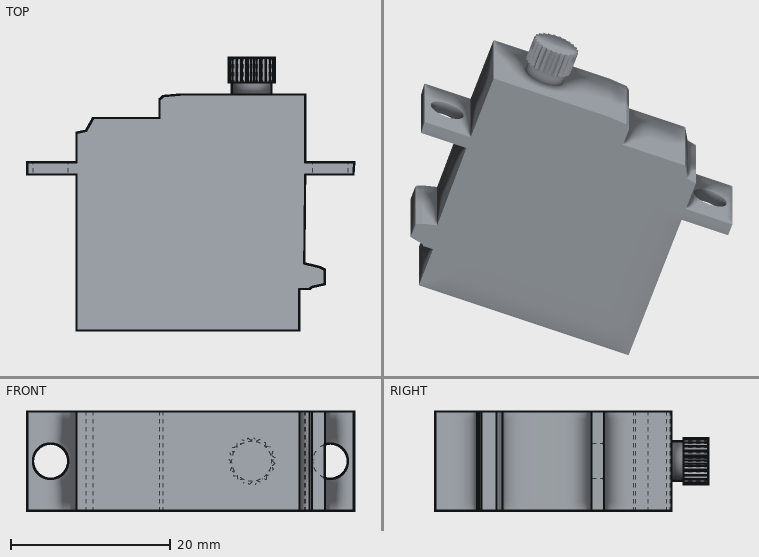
import cadquery as cq
import math

overall_length = 41.15
case_thickness = 12.5
mid_height = case_thickness / 2
case_left = 6.2
case_right = 34.95
case_right_low = 34.85
back_right = 34.2
case_front = 29.7

ear_back = 19.6
ear_front = 21.2
ear_end_draft = 0.12
ear_hole_diameter = 4.4
ear_hole_positions = (2.95, 38.1)

step_front = 26.75
step_right = 16.6
slope_start = (7.4, 25.15)
slope_end_x = 8.3
left_wall_front = 24.9

shoulder_start = 29.05
shoulder_bend = (17.1, 29.5)
boss_flat_start = 19.4

outlet_right = 37.43
outlet_front = 8.47
outlet_back = 5.22
outlet_front_bend = (36.73, 8.0)
outlet_front_corner = 7.7
outlet_back_corner = 5.85
outlet_back_bend = (35.8, 5.45)
outlet_back_flat_end = 35.5

shaft_x = 28.2
shaft_diameter = 5.0
spline_back = 31.18
shaft_end = 34.3
spline_count = 24
spline_outer_diameter = 5.9
spline_root_diameter = 5.2
spline_phase = 9.0


def make_case():
    outline = (
        cq.Workplane("XY")
        .moveTo(case_left, 0)
        .lineTo(back_right, 0)
        .lineTo(back_right, outlet_back)
        .lineTo(outlet_back_flat_end, outlet_back)
        .lineTo(*outlet_back_bend)
        .lineTo(outlet_right, outlet_back_corner)
        .lineTo(outlet_right, outlet_front_corner)
        .lineTo(*outlet_front_bend)
        .lineTo(case_right_low, outlet_front)
        .lineTo(case_right, ear_back)
        .lineTo(overall_length - ear_end_draft, ear_back)
        .lineTo(overall_length, ear_front)
        .lineTo(case_right, ear_front)
        .lineTo(case_right, case_front)
        .lineTo(boss_flat_start, case_front)
        .lineTo(*shoulder_bend)
        .lineTo(step_right, shoulder_start)
        .lineTo(step_right, step_front)
        .lineTo(slope_end_x, step_front)
        .lineTo(*slope_start)
        .lineTo(case_left, left_wall_front)
        .lineTo(case_left, ear_front)
        .lineTo(0, ear_front)
        .lineTo(0, ear_back)
        .lineTo(case_left, ear_back)
        .close()
    )
    case = outline.extrude(case_thickness)
    for hole_x in ear_hole_positions:
        case = case.cut(ear_hole(hole_x))
    return case


def ear_hole(hole_x):
    """Cylinder along Y that passes through one ear only."""
    return (
        cq.Workplane("XZ", origin=(hole_x, ear_front, mid_height))
        .circle(ear_hole_diameter / 2)
        .extrude(ear_front - ear_back)
    )


def spline_points():
    """Tips and roots of the triangular teeth, in order around the shaft axis."""
    half_pitch = math.pi / spline_count
    points = []
    for index in range(2 * spline_count):
        diameter = spline_root_diameter if index % 2 else spline_outer_diameter
        angle = math.radians(spline_phase) + index * half_pitch
        points.append((diameter / 2 * math.cos(angle), diameter / 2 * math.sin(angle)))
    return points


def make_output_shaft():
    neck = (
        cq.Workplane("XZ", origin=(shaft_x, spline_back, mid_height))
        .circle(shaft_diameter / 2)
        .extrude(spline_back - case_front)
    )
    head = (
        cq.Workplane("XZ", origin=(shaft_x, shaft_end, mid_height))
        .polyline(spline_points())
        .close()
        .extrude(shaft_end - spline_back)
    )
    return neck.union(head)


case = make_case()
output_shaft = make_output_shaft()

result = cq.Compound.makeCompound([case.val(), output_shaft.val()])